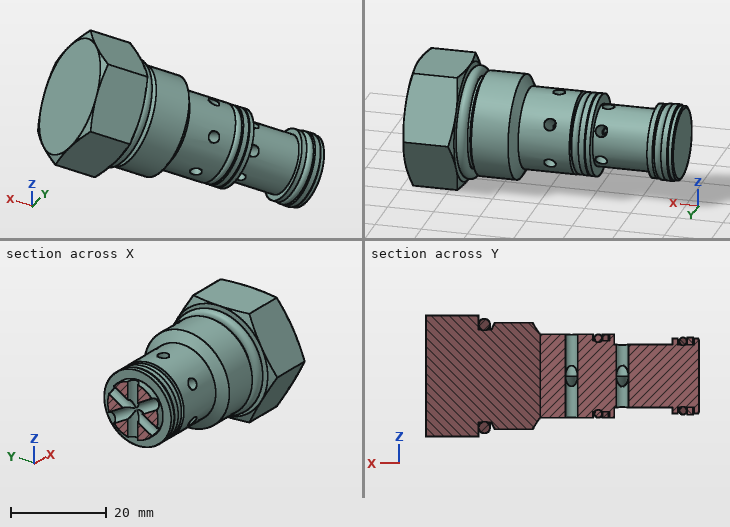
import cadquery as cq
import math

LENGTH = 57.15

NOSE_LAND_DIA = 15.8
NOSE_FACE_DIA = 15.0
NOSE_CHAMFER_LENGTH = 0.25
NOSE_LAND_WIDTH = 1.05
NOSE_GROOVE_DIA = 13.2
COLLAR_WIDTH = 1.15
TUBE_DIA = 13.25
BARREL_START = 17.7
BARREL_DIA = 17.55
BARREL_LAND_WIDTH = 1.05
BARREL_GROOVE_DIA = 15.0
GROOVE_WIDTH = 3.45
NOSE_GROOVE_START = NOSE_LAND_WIDTH
NOSE_GROOVE_END = NOSE_GROOVE_START + GROOVE_WIDTH
BARREL_GROOVE_START = BARREL_START + BARREL_LAND_WIDTH
BARREL_GROOVE_END = BARREL_GROOVE_START + GROOVE_WIDTH

PORT_DIA = 2.5
PORT_DRILLINGS = 3
TUBE_PORT_X = 16.05
BARREL_PORT_X = 26.7

BACKUP_GAP = 0.25
BACKUP_WIDTH = 1.25
NOSE_BACKUP_DIA = 16.25
BARREL_BACKUP_DIA = 17.5
SEAL_SECTION = 1.6
SEAL_OFFSET = 2.35
NOSE_SEAL_INNER_DIA = 13.0
BARREL_SEAL_INNER_DIA = 14.3

HOUSING_START = 33.25
CONE_END = 34.8
THREAD_DIA = 22.35
NECK_CHAMFER_START = 42.75
NECK_START = 43.45
NECK_DIA = 19.55
HEX_START = 46.1
HEX_ACROSS_FLATS = 25.4
HEX_ACROSS_CORNERS = HEX_ACROSS_FLATS / math.cos(math.radians(30))
HEX_CHAMFER_LENGTH = 0.75
HEAD_SEAL_SECTION = 2.4
HEAD_SEAL_OUTER_DIA = 24.0


def revolve_profile(points):
    """Revolve a closed (x, radius) outline about the X axis."""
    return cq.Workplane("XY").polyline(points).close().revolve(360, (0, 0, 0), (1, 0, 0))


def ring(start, width, outer_dia, inner_dia):
    """Flat ring with its first face at X = start."""
    return (
        cq.Workplane("YZ", origin=(start, 0, 0))
        .circle(outer_dia / 2)
        .circle(inner_dia / 2)
        .extrude(width)
    )


def o_ring(center_x, section_dia, inner_dia):
    """Torus around the X axis."""
    center_radius = (inner_dia + section_dia) / 2
    return (
        cq.Workplane("XY")
        .center(center_x, center_radius)
        .circle(section_dia / 2)
        .revolve(360, (0, -center_radius, 0), (1, -center_radius, 0))
    )


def port_drillings(x):
    """Cross drillings through the axis, the first one along Z."""
    drillings = cq.Workplane("XY")
    for index in range(PORT_DRILLINGS):
        drilling = (
            cq.Workplane("XY", origin=(x, 0, 0))
            .circle(PORT_DIA / 2)
            .extrude(BARREL_DIA, both=True)
            .rotate((0, 0, 0), (1, 0, 0), index * 180 / PORT_DRILLINGS)
        )
        drillings = drillings.add(drilling)
    return drillings.combine()


def make_cage(seals):
    """Turned cage with cross holes; each O-ring beds into its groove floor."""
    collar_end = NOSE_GROOVE_END + COLLAR_WIDTH
    cage = revolve_profile([
        (0, 0),
        (0, NOSE_FACE_DIA / 2),
        (NOSE_CHAMFER_LENGTH, NOSE_LAND_DIA / 2),
        (NOSE_GROOVE_START, NOSE_LAND_DIA / 2),
        (NOSE_GROOVE_START, NOSE_GROOVE_DIA / 2),
        (NOSE_GROOVE_END, NOSE_GROOVE_DIA / 2),
        (NOSE_GROOVE_END, NOSE_LAND_DIA / 2),
        (collar_end, NOSE_LAND_DIA / 2),
        (collar_end, TUBE_DIA / 2),
        (BARREL_START, TUBE_DIA / 2),
        (BARREL_START, BARREL_DIA / 2),
        (BARREL_GROOVE_START, BARREL_DIA / 2),
        (BARREL_GROOVE_START, BARREL_GROOVE_DIA / 2),
        (BARREL_GROOVE_END, BARREL_GROOVE_DIA / 2),
        (BARREL_GROOVE_END, BARREL_DIA / 2),
        (HOUSING_START, BARREL_DIA / 2),
        (HOUSING_START, 0),
    ])
    for port_x in (TUBE_PORT_X, BARREL_PORT_X):
        cage = cage.cut(port_drillings(port_x))
    for seal in seals:
        cage = cage.cut(seal)
    return cage


def make_hex_head():
    """Hexagon with corners on Y, both ends chamfered by cones."""
    face_radius = HEX_ACROSS_FLATS / 2
    corner_radius = HEX_ACROSS_CORNERS / 2
    hexagon = (
        cq.Workplane("YZ", origin=(HEX_START, 0, 0))
        .polygon(6, HEX_ACROSS_CORNERS)
        .extrude(LENGTH - HEX_START)
    )
    chamfer_envelope = revolve_profile([
        (HEX_START, 0),
        (HEX_START, face_radius),
        (HEX_START + HEX_CHAMFER_LENGTH, corner_radius),
        (LENGTH - HEX_CHAMFER_LENGTH, corner_radius),
        (LENGTH, face_radius),
        (LENGTH, 0),
    ])
    return hexagon.intersect(chamfer_envelope)


def make_housing(seal):
    """Threaded body and hex head in one piece; the O-ring beds into the neck."""
    body = revolve_profile([
        (HOUSING_START, 0),
        (HOUSING_START, BARREL_DIA / 2),
        (CONE_END, THREAD_DIA / 2),
        (NECK_CHAMFER_START, THREAD_DIA / 2),
        (NECK_START, NECK_DIA / 2),
        (HEX_START, NECK_DIA / 2),
        (HEX_START, 0),
    ])
    return body.union(make_hex_head()).cut(seal)


backup_rings = []
cage_seals = []
for groove_start, groove_dia, backup_dia, seal_inner_dia in (
    (NOSE_GROOVE_START, NOSE_GROOVE_DIA, NOSE_BACKUP_DIA, NOSE_SEAL_INNER_DIA),
    (BARREL_GROOVE_START, BARREL_GROOVE_DIA, BARREL_BACKUP_DIA, BARREL_SEAL_INNER_DIA),
):
    backup_rings.append(ring(groove_start + BACKUP_GAP, BACKUP_WIDTH, backup_dia, groove_dia))
    cage_seals.append(o_ring(groove_start + SEAL_OFFSET, SEAL_SECTION, seal_inner_dia))

head_seal = o_ring(
    HEX_START - HEAD_SEAL_SECTION / 2,
    HEAD_SEAL_SECTION,
    HEAD_SEAL_OUTER_DIA - 2 * HEAD_SEAL_SECTION,
)

cage = make_cage(cage_seals)
housing = make_housing(head_seal)

result = cq.Compound.makeCompound([
    cage.val(),
    housing.val(),
    head_seal.val(),
    *[backup.val() for backup in backup_rings],
    *[seal.val() for seal in cage_seals],
])